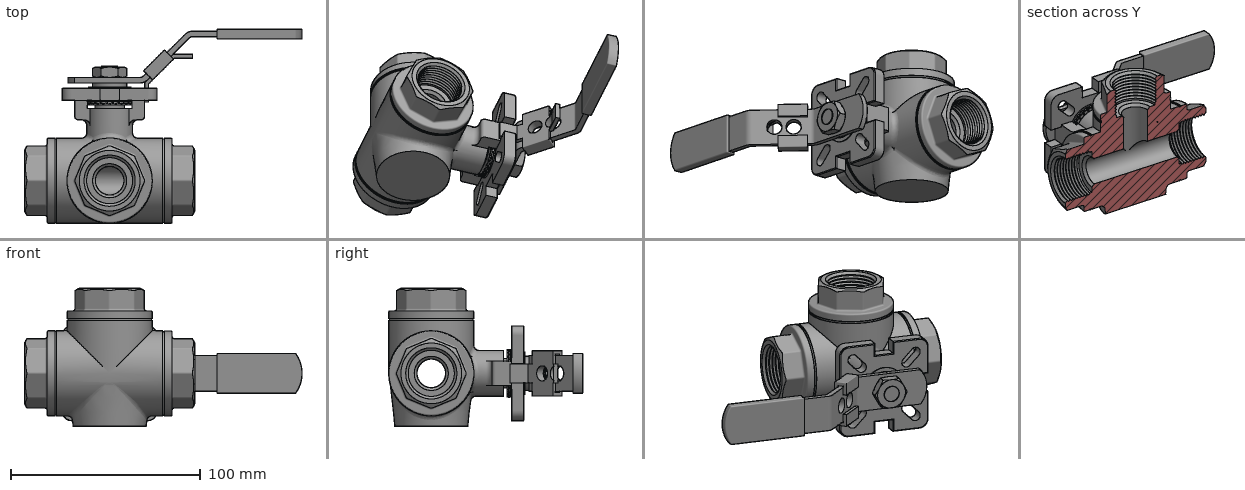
import cadquery as cq
import math

BODY_R = 22.5
END_FACE = 45.0
SHOULDER = 33.0
SHOULDER_EDGE = 0.9
BLEND_R = 2.5
BLEND_REACH = 1.02
TRIM_SIZE = 60.0

BOTTOM_R = 19.3
BOTTOM_DEPTH = 28.0

OCTAGON_R = 18.5
OCTAGON_EDGE = 1.5
OCTAGON_FOOT = 1.0
END_RING_R = 16.0
END_BEVEL_ANGLE = 30.0
SEAM_START = 27.9
SEAM_WIDTH = 1.0
SEAM_DEPTH = 0.4
MOUTH_R = 13.5
THREAD_CREST_R = 12.15
THREAD_ROOT_R = 13.0
THREAD_PITCH = 1.814
THREAD_TURNS = 8
THREAD_FLOOR = 28.0
BORE_R = 7.5
BORE_MOUTH_R = 9.0

NECK_R = 12.15
NECK_TOP = 38.2
LUG_REACH = 18.5
LUG_HALF_Z = 6.4
LUG_BOTTOM = 32.1
LUG_EDGE = 1.9
LUG_FLARE = 2.9
LUG_GAP_HALF = 11.7
STEM_R = 7.85

WASHER_R = 12.6
WASHER_BOTTOM = 39.8
WASHER_T = 1.9
WASHER_NUT_FLATS = 16.8
WASHER_TEETH = 24
WASHER_NOTCH_W = 0.8
WASHER_NOTCH_DEPTH = 1.2

PLATE_SIDE = 50.0
PLATE_BOTTOM = 42.4
PLATE_T = 6.6
PLATE_EDGE = 0.5
PLATE_COLLAR_R = 11.25
PLATE_COLLAR_TOP = 49.35
PLATE_CORNER = 5.0
RECESS_R = 13.0
RECESS_DEPTH = 1.0
NOTCH_W = 10.2
NOTCH_DEPTH = PLATE_SIDE / 2 - LUG_REACH
SLOT_W = 5.4
SLOT_INNER_R = 18.0
SLOT_OUTER_R = 25.0

STRIP_T = 3.0
STRIP_HALF_Z = 9.55
STRIP_LOW = 51.5
STRIP_HIGH = 75.85
STRIP_START = -22.0
LOW_BEND = 18.35
HIGH_BEND = LOW_BEND + STRIP_HIGH - STRIP_LOW
LOW_BEND_INNER = 2.8
HIGH_BEND_INNER = 1.5
END_SAGITTA = 3.5
HANDLE_HOLE_R = 4.0
HANDLE_HOLES_Y = (60.8, 68.0)

GRIP_START = 56.6
GRIP_END = 101.54
GRIP_TOP = 79.93
GRIP_T = 5.3
GRIP_HALF_Z = 10.6
GRIP_EDGE = 0.6

SPACER_R = 9.1
NUT_FLATS = 15.7
NUT_TOP = 59.9
NUT_BEVEL_R = 7.85
TIP_R = 4.2
TIP_TOP = 60.4

SLIDE_T = 1.9
SLIDE_EDGE = 0.3
SLIDE_HALF_Z = 12.0
SLIDE_LIP_OPENING = 5.4
SLIDE_START = 53.6
SLIDE_END = 69.2
TONGUE_W = 10.0
TONGUE_X = (18.5, 20.5)
TONGUE_BOTTOM = 41.5
TAB_Y = (64.5, 66.8)
TAB_END = 43.7
TONGUE_OVERLAP = 4.0
TAB_OVERLAP = 1.0

SLOPE = 45.0
ROOT2 = math.sqrt(2)


def block(x_range, y_range, z_range):
    """Box between the given limits."""
    sizes = [b - a for a, b in (x_range, y_range, z_range)]
    corner = (x_range[0], y_range[0], z_range[0])
    return cq.Workplane("XY").box(*sizes, centered=False).translate(corner)


def y_cylinder(radius, start, end):
    """Round bar on the stem axis."""
    return cq.Workplane("XZ", origin=(0, start, 0)).circle(radius).extrude(start - end)


def x_barrel():
    return cq.Workplane("YZ").circle(BODY_R).extrude(SEAM_START, both=True)


def z_barrel():
    return cq.Workplane("XY").circle(BODY_R).extrude(SEAM_START, both=True)


def tapered_bottom(top):
    """Cone that has the body radius at the centre and is cut off at height `top`."""
    top_r = BODY_R + (BODY_R - BOTTOM_R) * top / BOTTOM_DEPTH
    outline = [(0, top), (top_r, top), (BOTTOM_R, -BOTTOM_DEPTH), (0, -BOTTOM_DEPTH)]
    return cq.Workplane("XZ").polyline(outline).close().revolve(360, (0, 0, 0), (0, 1, 0))


def with_neck(barrel):
    """Add the stem neck to one barrel, with a blend around its foot."""
    joined = barrel.union(y_cylinder(NECK_R, 0, NECK_TOP))
    foot = [
        edge
        for edge in joined.edges().vals()
        if edge.geomType() not in ("LINE", "CIRCLE") and NECK_R < edge.Center().y < NECK_TOP
    ]
    return joined.newObject(foot).fillet(BLEND_R)


def tee_blend():
    """Rolling-ball blend where the +X and +Z barrels meet.

    The ball centre runs on an ellipse, and both contact curves are flat ellipses too.
    """
    ball_r = BODY_R + BLEND_R
    near = BODY_R * BLEND_REACH
    far = ball_r * BLEND_REACH
    wedge = cq.Workplane("XZ").polyline([(0, 0), (near, far), (far, near)]).close()
    wedge = wedge.extrude(near, both=True)
    miter = cq.Plane((0, 0, 0), (0, 1, 0), (1, 0, -1))
    limit = cq.Workplane(miter).ellipse(near, (near + far) / ROOT2)
    wedge = wedge.intersect(limit.extrude(ball_r, both=True))
    path = cq.Workplane(miter).ellipseArc(ball_r, ball_r * ROOT2, 0, 180, startAtCurrent=False)
    section = cq.Plane((0, ball_r, 0), (0, 1, 0), (1, 0, 1))
    return wedge.cut(cq.Workplane(section).circle(BLEND_R).sweep(path))


def bottom_blend():
    """Quarter of the body on the +X -Y side, blended between barrel and tapered bottom."""
    size = TRIM_SIZE
    quarter = x_barrel().union(tapered_bottom(0))
    quarter = quarter.intersect(block((0, size), (-size, 0), (-size, size)))
    joint = [
        edge
        for edge in quarter.edges().vals()
        if edge.geomType() not in ("LINE", "CIRCLE") and edge.Center().x > 1
    ]
    return quarter.newObject(joint).fillet(BLEND_R)


def make_body():
    size = TRIM_SIZE
    upper = with_neck(z_barrel()).intersect(block((-size, size), (-size, size), (0, size)))
    lower = with_neck(tapered_bottom(BOTTOM_DEPTH))
    lower = lower.intersect(block((-size, size), (-size, size), (-BOTTOM_DEPTH, 0)))
    body = with_neck(x_barrel()).union(lower).union(upper)
    corner = tee_blend()
    body = body.union(corner).union(corner.mirror("YZ"))
    quarter = bottom_blend()
    front = [quarter, quarter.mirror("YZ")]
    for piece in front + [q.mirror("XZ") for q in front]:
        body = body.union(piece)
    return body


def port_end():
    """Octagon with a bevelled end and a flared foot on a round shoulder."""
    octagon = cq.Workplane("XY").workplane(offset=SHOULDER).polygon(8, 2 * OCTAGON_R)
    octagon = octagon.extrude(END_FACE - SHOULDER).edges("|Z").fillet(OCTAGON_EDGE)
    bevel_drop = (BODY_R - END_RING_R) * math.tan(math.radians(END_BEVEL_ANGLE))
    bevel = [
        (0, SHOULDER),
        (BODY_R, SHOULDER),
        (BODY_R, END_FACE - bevel_drop),
        (END_RING_R, END_FACE),
        (0, END_FACE),
    ]
    octagon = octagon.intersect(
        cq.Workplane("XZ").polyline(bevel).close().revolve(360, (0, 0, 0), (0, 1, 0))
    )
    groove_end = SEAM_START + SEAM_WIDTH
    core = cq.Workplane("XY").workplane(offset=SEAM_START).circle(BODY_R - SEAM_DEPTH)
    core = core.extrude(SEAM_WIDTH)
    shoulder = cq.Workplane("XY").workplane(offset=groove_end).circle(BODY_R)
    shoulder = shoulder.extrude(SHOULDER - groove_end).faces(">Z").edges().fillet(SHOULDER_EDGE)
    joined = shoulder.union(octagon)
    middle = SHOULDER - OCTAGON_FOOT / 4
    foot = cq.selectors.BoxSelector(
        (-OCTAGON_R - 1, -OCTAGON_R - 1, middle), (OCTAGON_R + 1, OCTAGON_R + 1, SHOULDER + 0.1)
    )
    return joined.edges(foot).edges("not %CYLINDER").fillet(OCTAGON_FOOT).union(core)


def port_bore():
    """Threaded socket with ring-shaped thread grooves, then the plain bore to the centre."""
    mouth_drop = MOUTH_R - THREAD_CREST_R
    outline = [(0, END_FACE), (MOUTH_R, END_FACE), (THREAD_CREST_R, END_FACE - mouth_drop)]
    for turn in range(THREAD_TURNS):
        top = END_FACE - mouth_drop - turn * THREAD_PITCH
        outline.append((THREAD_ROOT_R, top - THREAD_PITCH / 2))
        outline.append((THREAD_CREST_R, top - THREAD_PITCH))
    outline += [
        (THREAD_CREST_R, THREAD_FLOOR),
        (BORE_MOUTH_R, THREAD_FLOOR),
        (BORE_R, THREAD_FLOOR - (BORE_MOUTH_R - BORE_R)),
        (BORE_R, 0),
        (0, 0),
    ]
    return cq.Workplane("XZ").polyline(outline).close().revolve(360, (0, 0, 0), (0, 1, 0))


def add_ports(body):
    end = port_end()
    bore = port_bore()
    turns = (0, 90, -90)
    for angle in turns:
        body = body.union(end.rotate((0, 0, 0), (0, 1, 0), angle))
    for angle in turns:
        body = body.cut(bore.rotate((0, 0, 0), (0, 1, 0), angle))
    return body


def make_lugs():
    """Pair of blocks from the neck to the plate, rounded outside and blended into the neck."""
    lugs = block((-LUG_REACH, LUG_REACH), (LUG_BOTTOM, PLATE_BOTTOM), (-LUG_HALF_Z, LUG_HALF_Z))
    lugs = lugs.edges("|Z and <Y").fillet(LUG_EDGE)
    gap = (-LUG_GAP_HALF, LUG_GAP_HALF)
    lugs = lugs.cut(block(gap, (NECK_TOP, PLATE_BOTTOM), (-LUG_HALF_Z, LUG_HALF_Z)))
    flare_r = NECK_R + LUG_FLARE
    flare = cq.Workplane("XY").moveTo(0, LUG_BOTTOM).lineTo(flare_r, LUG_BOTTOM)
    flare = flare.radiusArc((NECK_R, LUG_BOTTOM - LUG_FLARE), -LUG_FLARE)
    flare = flare.lineTo(0, LUG_BOTTOM - LUG_FLARE).close().revolve(360, (0, 0, 0), (0, 1, 0))
    width = block((-flare_r, flare_r), (0, LUG_BOTTOM), (-LUG_HALF_Z, LUG_HALF_Z))
    return lugs.union(flare.intersect(width))


def make_washer():
    """Two stacked toothed rings, half a tooth apart, under a thin hexagon nut."""
    top = WASHER_BOTTOM + WASHER_T
    middle = WASHER_BOTTOM + WASHER_T / 2
    washer = y_cylinder(WASHER_R, WASHER_BOTTOM, top)
    root = WASHER_R - WASHER_NOTCH_DEPTH
    half = WASHER_NOTCH_W / 2
    pitch = 360 / WASHER_TEETH
    for shift, layer in ((0, (WASHER_BOTTOM, middle)), (pitch / 2, (middle, top))):
        notch = block((-half, half), layer, (root, WASHER_R + 1))
        for tooth in range(WASHER_TEETH):
            washer = washer.cut(notch.rotate((0, 0, 0), (0, 1, 0), tooth * pitch + shift))
    nut = cq.Workplane("XZ", origin=(0, top, 0)).polygon(6, 2 * WASHER_NUT_FLATS / math.sqrt(3))
    return washer.union(nut.extrude(top - PLATE_BOTTOM - RECESS_DEPTH))


def make_plate():
    """Square flange with a notch in each side and a slot on each diagonal."""
    half = PLATE_SIDE / 2
    top = PLATE_BOTTOM + PLATE_T
    plate = block((-half, half), (PLATE_BOTTOM, top), (-half, half)).edges("|Y").fillet(PLATE_CORNER)
    notch = block((-NOTCH_W / 2, NOTCH_W / 2), (PLATE_BOTTOM, top), (half - NOTCH_DEPTH, half))
    slot_length = SLOT_OUTER_R - SLOT_INNER_R + SLOT_W
    slot = cq.Workplane("XZ", origin=(0, PLATE_BOTTOM, 0))
    slot = slot.center((SLOT_INNER_R + SLOT_OUTER_R) / 2, 0).slot2D(slot_length, SLOT_W).extrude(-PLATE_T)
    for quarter in range(4):
        plate = plate.cut(notch.rotate((0, 0, 0), (0, 1, 0), 90 * quarter))
    plate = plate.faces(">Y").edges().chamfer(PLATE_EDGE)
    for quarter in range(4):
        plate = plate.cut(slot.rotate((0, 0, 0), (0, 1, 0), 45 + 90 * quarter))
    plate = plate.union(y_cylinder(PLATE_COLLAR_R, PLATE_BOTTOM, PLATE_COLLAR_TOP))
    return plate.cut(y_cylinder(RECESS_R, PLATE_BOTTOM, PLATE_BOTTOM + RECESS_DEPTH))


def make_nut():
    """Hexagon nut, bevelled at both ends, with the stem tip above it."""
    bottom = STRIP_LOW + STRIP_T
    height = NUT_TOP - bottom
    corner_r = NUT_FLATS / math.sqrt(3)
    nut = cq.Workplane("XZ", origin=(0, bottom, 0)).polygon(6, 2 * corner_r).extrude(-height)
    drop = (corner_r - NUT_BEVEL_R) * math.tan(math.radians(END_BEVEL_ANGLE))
    envelope = y_cylinder(corner_r, bottom, NUT_TOP)
    envelope = envelope.faces("<Y or >Y").chamfer(drop, corner_r - NUT_BEVEL_R)
    return nut.intersect(envelope).union(y_cylinder(TIP_R, bottom, TIP_TOP))


def bowed_outline(start, end, half_width, bow_start):
    """Outline in X and Z with a bowed +X end, and a bowed -X end if asked for."""
    near = start + END_SAGITTA if bow_start else start
    outline = cq.Workplane("XZ").moveTo(near, -half_width).lineTo(end - END_SAGITTA, -half_width)
    outline = outline.threePointArc((end, 0), (end - END_SAGITTA, half_width)).lineTo(near, half_width)
    if bow_start:
        return outline.threePointArc((start, 0), (near, -half_width)).close()
    return outline.close()


def slope_hole(y):
    """Drill across the sloping strip, centred on its middle plane at height y."""
    middle = LOW_BEND + y - STRIP_LOW - STRIP_T / ROOT2
    drill = cq.Workplane("XZ").circle(HANDLE_HOLE_R).extrude(2 * STRIP_T, both=True)
    return drill.rotate((0, 0, 0), (0, 0, 1), SLOPE).translate((middle, y, 0))


def make_strip():
    """Flat strip with two bends and bowed ends."""
    shift = STRIP_T * math.tan(math.radians(SLOPE / 2))
    end = GRIP_END - GRIP_T
    low_top = (LOW_BEND - shift, STRIP_LOW + STRIP_T)
    high_top = (HIGH_BEND - shift, STRIP_HIGH + STRIP_T)
    outline = [
        (STRIP_START, STRIP_LOW),
        (LOW_BEND, STRIP_LOW),
        (HIGH_BEND, STRIP_HIGH),
        (end, STRIP_HIGH),
        (end, STRIP_HIGH + STRIP_T),
        high_top,
        low_top,
        (STRIP_START, STRIP_LOW + STRIP_T),
    ]
    strip = cq.Workplane("XY").polyline(outline).close().extrude(STRIP_HALF_Z, both=True)
    bends = [
        ((LOW_BEND, STRIP_LOW), LOW_BEND_INNER + STRIP_T),
        (low_top, LOW_BEND_INNER),
        ((HIGH_BEND, STRIP_HIGH), HIGH_BEND_INNER),
        (high_top, HIGH_BEND_INNER + STRIP_T),
    ]
    for (x, y), radius in bends:
        strip = strip.edges(cq.selectors.NearestToPointSelector((x, y, 0))).fillet(radius)
    plan = bowed_outline(STRIP_START, GRIP_END, STRIP_HALF_Z, True).extrude(-GRIP_TOP)
    return strip.intersect(plan)


def make_grip():
    grip = bowed_outline(GRIP_START, GRIP_END, GRIP_HALF_Z, False).extrude(-GRIP_T)
    return grip.edges().fillet(GRIP_EDGE).translate((0, GRIP_TOP - GRIP_T, 0))


def make_slide():
    """Channel with two lips that wraps around the sloping strip."""
    strip_under = (STRIP_LOW - LOW_BEND) / ROOT2
    under = strip_under - SLIDE_T
    over = strip_under + STRIP_T + SLIDE_T
    length = (SLIDE_START, SLIDE_END)
    slide = block(length, (under, over), (-SLIDE_HALF_Z, SLIDE_HALF_Z))
    slide = slide.cut(block(length, (over - SLIDE_T, over), (-SLIDE_LIP_OPENING, SLIDE_LIP_OPENING)))
    inner = SLIDE_HALF_Z - SLIDE_T
    slide = slide.cut(block(length, (strip_under, over - SLIDE_T), (-inner, inner)))
    slide = slide.faces("<Z or >Z").edges().fillet(SLIDE_EDGE)
    return slide.rotate((0, 0, 0), (0, 0, 1), SLOPE)


def make_tongue_and_tab():
    """Tongue bent down from the lower end of the slide, and the tab bent out from its upper end."""
    under_rise = STRIP_LOW - LOW_BEND
    outer_rise = under_rise - SLIDE_T * ROOT2
    tongue_end = TONGUE_X[1] + TONGUE_OVERLAP
    tab_start = TAB_Y[0] - TAB_OVERLAP
    tongue = [
        (TONGUE_X[0], TONGUE_BOTTOM),
        (TONGUE_X[1], TONGUE_BOTTOM),
        (TONGUE_X[1], TONGUE_X[1] + outer_rise),
        (tongue_end, tongue_end + outer_rise),
        (tongue_end, tongue_end + under_rise),
        (TONGUE_X[0], TONGUE_X[0] + under_rise),
    ]
    tab = [
        (tab_start - outer_rise, tab_start),
        (TAB_Y[0] - outer_rise, TAB_Y[0]),
        (TAB_END, TAB_Y[0]),
        (TAB_END, TAB_Y[1]),
        (TAB_Y[1] - under_rise, TAB_Y[1]),
        (tab_start - under_rise, tab_start),
    ]
    half = TONGUE_W / 2
    tongue = cq.Workplane("XY").polyline(tongue).close().extrude(half, both=True)
    return tongue.union(cq.Workplane("XY").polyline(tab).close().extrude(half, both=True))


result = add_ports(make_body())
result = result.union(make_lugs())
result = result.union(y_cylinder(STEM_R, BODY_R, PLATE_BOTTOM + PLATE_T))
result = result.union(make_washer()).union(make_plate())
result = result.union(y_cylinder(SPACER_R, PLATE_BOTTOM + RECESS_DEPTH, STRIP_LOW))
lever = make_strip().union(make_slide()).union(make_tongue_and_tab())
for hole_y in HANDLE_HOLES_Y:
    lever = lever.cut(slope_hole(hole_y))
result = result.union(lever.union(make_grip())).union(make_nut())